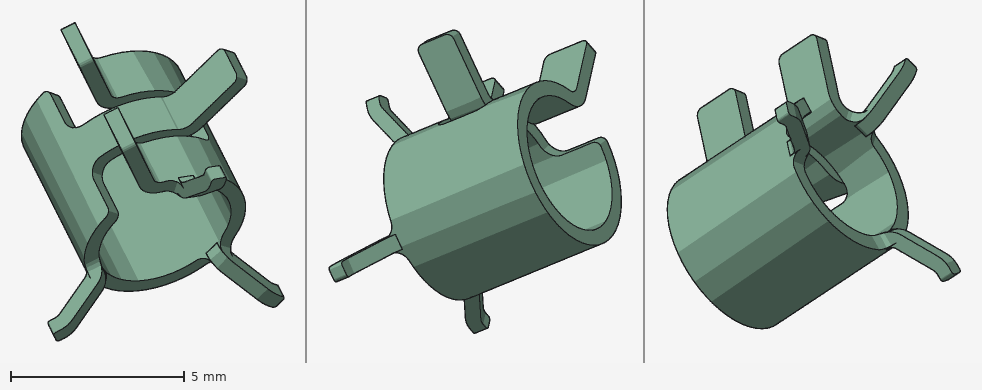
import cadquery as cq
import math


length = 4.82
outer_radius = 2.52
wall = 0.46
inner_radius = outer_radius - wall

tab_bend = 0.36
tab_length = 2.06
corner_radius = 0.21
pair_bend_angle = 0
pair_lean = -15
tongue_bend_angle = 27
tongue_lean = 45

tongue_centre = 2.42
tongue_width = 1.26
tongue_root_fillet = 0.5
shoulder_angle = -42.3
slot_width = 1.755
slot_end_angle = 56
slot_end_radius = 0.38

prong_angles = (15, 135, 255)
prong_width = 0.48
prong_reach = 1.535
prong_tip_distance = 4.195
prong_slope = 57
prong_bend = 0.275
prong_tip_bend = 0.4
prong_straight = 0.06
prong_root_fillet = 0.385
prong_tip_fillet = 0.1

far = 2 * length


def polar(radius, angle, centre=(0, 0)):
    """Point at a radius and an angle measured from the second axis toward the first."""
    a = math.radians(angle)
    return (centre[0] + radius * math.sin(a), centre[1] + radius * math.cos(a))


def arc(path, centre, radius, start, end):
    """Continue a path along an arc between two angles about a centre."""
    middle = polar(radius, (start + end) / 2, centre)
    return path.threePointArc(middle, polar(radius, end, centre))


def sheet_plane(angle):
    """Plane through the axis facing radially outward; local y runs toward larger angles."""
    return cq.Workplane(cq.Plane(origin=(0, 0, 0), xDir=(1, 0, 0), normal=(0, *polar(1, angle))))


def half_ring(bend_angle, lean):
    """Strip from the ring bottom, up the -Y side and over the top, ending in a bent tab."""
    bend_centre = polar(outer_radius + tab_bend, bend_angle)
    bend_outer = tab_bend + wall
    bend_start = bend_angle + 180
    bend_end = lean + 90
    path = cq.Workplane("YZ").moveTo(0, -outer_radius)
    path = arc(path, (0, 0), outer_radius, -180, bend_angle)
    path = arc(path, bend_centre, tab_bend, bend_start, bend_end)
    path = path.lineTo(*polar(tab_length, lean, polar(tab_bend, bend_end, bend_centre)))
    path = path.lineTo(*polar(tab_length, lean, polar(bend_outer, bend_end, bend_centre)))
    path = path.lineTo(*polar(bend_outer, bend_end, bend_centre))
    path = arc(path, bend_centre, bend_outer, bend_end, bend_start)
    path = arc(path, (0, 0), inner_radius, bend_angle, -180)
    return path.close().extrude(length)


def round_tab_corners(body, lean):
    """Round the tab tip corners, whose edges run through the sheet thickness."""
    through_sheet = cq.Vector(0, *polar(1, lean + 90))
    return body.edges(cq.selectors.ParallelDirSelector(through_sheet)).fillet(corner_radius)


def shoulder_prism():
    """Outline of the tongue half: shoulders with round corners and a filleted tongue."""
    left = tongue_centre - tongue_width / 2
    right = tongue_centre + tongue_width / 2
    corner = corner_radius
    root = tongue_root_fillet
    path = sheet_plane(shoulder_angle).moveTo(0, -far).lineTo(0, -corner)
    path = arc(path, (corner, -corner), corner, -90, 0).lineTo(left - root, 0)
    path = arc(path, (left - root, root), root, 180, 90).lineTo(left, far)
    path = path.lineTo(right, far).lineTo(right, root)
    path = arc(path, (right + root, root), root, 270, 180).lineTo(length - corner, 0)
    path = arc(path, (length - corner, -corner), corner, 0, 90).lineTo(length, -far)
    return path.close().extrude(far, both=True)


def slot_prism():
    """Slot with a rounded end, open toward the pair of tabs."""
    left = tongue_centre - slot_width / 2
    right = tongue_centre + slot_width / 2
    corner = slot_end_radius
    path = sheet_plane(slot_end_angle).moveTo(left, -far).lineTo(left, -corner)
    path = arc(path, (left + corner, -corner), corner, -90, 0).lineTo(right - corner, 0)
    path = arc(path, (right - corner, -corner), corner, 0, 90).lineTo(right, -far)
    return path.close().extrude(far)


def tongue_half():
    """The -Y half of the ring, narrowed above its shoulders to the tongue."""
    body = half_ring(tongue_bend_angle, tongue_lean).intersect(shoulder_prism())
    return round_tab_corners(body, tongue_lean)


def pair_half():
    """The +Y half of the ring, mirrored from a -Y strip and split into two tabs by the slot."""
    body = half_ring(-pair_bend_angle, -pair_lean).mirror("XZ").cut(slot_prism())
    return round_tab_corners(body, pair_lean)


def prong_profile():
    """Side profile in X and radius; two bends turn the prong from axial to radial."""
    slope = math.radians(prong_slope)
    slope_normal = 180 - prong_slope
    outer = prong_bend + wall
    tip_outer = prong_tip_bend + wall
    run = prong_reach - prong_straight - tip_outer
    rise = run * math.tan(slope) + (tip_outer - outer) / math.cos(slope)
    first = (length + prong_straight, outer_radius + prong_bend)
    second = (first[0] + run, first[1] + rise)
    path = cq.Workplane("XZ").moveTo(length, inner_radius).lineTo(first[0], inner_radius)
    path = arc(path, first, outer, 180, slope_normal)
    path = path.lineTo(*polar(tip_outer, slope_normal, second))
    path = arc(path, second, tip_outer, slope_normal, 90)
    path = path.lineTo(length + prong_reach, prong_tip_distance)
    path = path.lineTo(length + prong_reach - wall, prong_tip_distance)
    path = path.lineTo(*polar(prong_tip_bend, 90, second))
    path = arc(path, second, prong_tip_bend, 90, slope_normal)
    path = path.lineTo(*polar(prong_bend, slope_normal, first))
    path = arc(path, first, prong_bend, slope_normal, 180).lineTo(length, outer_radius)
    return path.close()


def prong():
    """One prong pointing along +Z, with rounded tip corners and root fillets in the ring wall."""
    fillet = prong_root_fillet
    half_width = prong_width / 2
    strip = prong_profile().extrude(half_width, both=True)
    strip = strip.faces(">Z").edges("|X").fillet(prong_tip_fillet)
    outline = cq.Workplane("XY").moveTo(length, half_width).lineTo(length + fillet, half_width)
    outline = arc(outline, (length + fillet, half_width + fillet), fillet, 180, 270)
    collar = prong_profile().revolve(360, (0, 0), (1, 0))
    ring_envelope = cq.Workplane("YZ").circle(outer_radius).extrude(far)
    root = outline.close().extrude(far).intersect(ring_envelope).intersect(collar)
    return strip.union(root, clean=False).union(root.mirror("XZ"), clean=False)


result = tongue_half().union(pair_half())
for angle in prong_angles:
    result = result.union(prong().rotate((0, 0, 0), (1, 0, 0), -angle), clean=False)